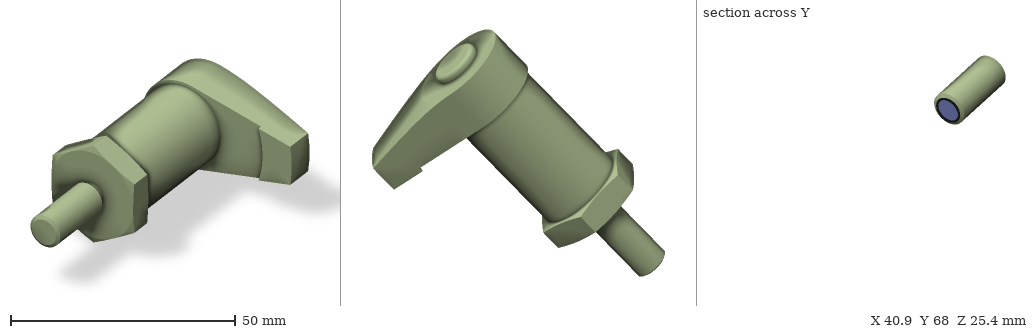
import cadquery as cq
import math

STUD_LENGTH = 19.05
STUD_DIAMETER = 8.0
STUD_CHAMFER_LENGTH = 0.5
STUD_CHAMFER_INSET = 0.8
NECK_DIAMETER = 6.0
NECK_LENGTH = 1.5

HEX_THICKNESS = 6.0
HEX_ACROSS_FLATS = 22.0
HEX_CHAMFER_ANGLE = 15.0

BODY_DIAMETER = 20.0
BODY_LENGTH = 30.0

HUB_RADIUS = HEX_ACROSS_FLATS / 2
HUB_THICKNESS = 11.0
LEVER_REACH = 29.9
LEVER_TAPER_ANGLE = 12.0
LEVER_TOP_DROP = 4.95
PAD_START_RADIUS = 2 * HUB_RADIUS
PAD_HEIGHT = 1.0

CAP_DIAMETER = 11.0
CAP_HEIGHT = 2.0
CAP_FILLET = 0.95

HUB_BOTTOM = HEX_THICKNESS + BODY_LENGTH
HUB_TOP = HUB_BOTTOM + HUB_THICKNESS


def revolved(profile):
    """Revolve a closed (radius, y) profile about the Y axis."""
    return cq.Workplane("XY").polyline(profile).close().revolve(360, (0, 0, 0), (0, 1, 0))


def plane_at(y):
    """XZ workplane at height y whose extrusions run toward +Y."""
    return cq.Workplane(cq.Plane((0, y, 0), xDir=(1, 0, 0), normal=(0, 1, 0)))


def make_stud():
    radius = STUD_DIAMETER / 2
    neck_radius = NECK_DIAMETER / 2
    return revolved([
        (0, 0),
        (neck_radius, 0),
        (neck_radius, -NECK_LENGTH),
        (radius - STUD_CHAMFER_INSET, -NECK_LENGTH),
        (radius, -NECK_LENGTH - STUD_CHAMFER_LENGTH),
        (radius, -STUD_LENGTH + STUD_CHAMFER_LENGTH),
        (radius - STUD_CHAMFER_INSET, -STUD_LENGTH),
        (0, -STUD_LENGTH),
    ])


def make_hexagon():
    """Hexagon with corners on Z, its corners chamfered at both faces."""
    corner_radius = HEX_ACROSS_FLATS / math.sqrt(3)
    flat_radius = HEX_ACROSS_FLATS / 2
    drop = (corner_radius - flat_radius) * math.tan(math.radians(HEX_CHAMFER_ANGLE))
    corners = [
        (corner_radius * math.sin(math.radians(60 * i)), corner_radius * math.cos(math.radians(60 * i)))
        for i in range(6)
    ]
    prism = plane_at(0).polyline(corners).close().extrude(HEX_THICKNESS)
    envelope = revolved([
        (0, 0),
        (flat_radius, 0),
        (corner_radius, drop),
        (corner_radius, HEX_THICKNESS - drop),
        (flat_radius, HEX_THICKNESS),
        (0, HEX_THICKNESS),
    ])
    return prism.intersect(envelope)


def make_body():
    return plane_at(HEX_THICKNESS).circle(BODY_DIAMETER / 2).extrude(BODY_LENGTH)


def make_lever():
    """Hub and tapered arm: flanks tangent to the hub, conical top, raised pad under the tip."""
    taper = math.radians(LEVER_TAPER_ANGLE)
    tangent_x = HUB_RADIUS * math.sin(taper)
    tangent_z = HUB_RADIUS * math.cos(taper)
    tip_angle = math.pi / 2 - taper - math.acos(HUB_RADIUS / LEVER_REACH)
    tip_x = LEVER_REACH * math.cos(tip_angle)
    tip_z = LEVER_REACH * math.sin(tip_angle)

    blank = (
        plane_at(HUB_BOTTOM - PAD_HEIGHT)
        .moveTo(tangent_x, tangent_z)
        .lineTo(tip_x, tip_z)
        .threePointArc((LEVER_REACH, 0), (tip_x, -tip_z))
        .lineTo(tangent_x, -tangent_z)
        .threePointArc((-HUB_RADIUS, 0), (tangent_x, tangent_z))
        .close()
        .extrude(PAD_HEIGHT + HUB_THICKNESS)
    )
    envelope = revolved([
        (0, HUB_BOTTOM),
        (PAD_START_RADIUS, HUB_BOTTOM),
        (PAD_START_RADIUS, HUB_BOTTOM - PAD_HEIGHT),
        (LEVER_REACH, HUB_BOTTOM - PAD_HEIGHT),
        (LEVER_REACH, HUB_TOP - LEVER_TOP_DROP),
        (HUB_RADIUS, HUB_TOP),
        (0, HUB_TOP),
    ])
    return blank.intersect(envelope)


def make_cap():
    cap = plane_at(HUB_TOP).circle(CAP_DIAMETER / 2).extrude(CAP_HEIGHT)
    return cap.faces(">Y").edges().fillet(CAP_FILLET)


result = make_stud().union(make_hexagon()).union(make_body()).union(make_lever()).union(make_cap())